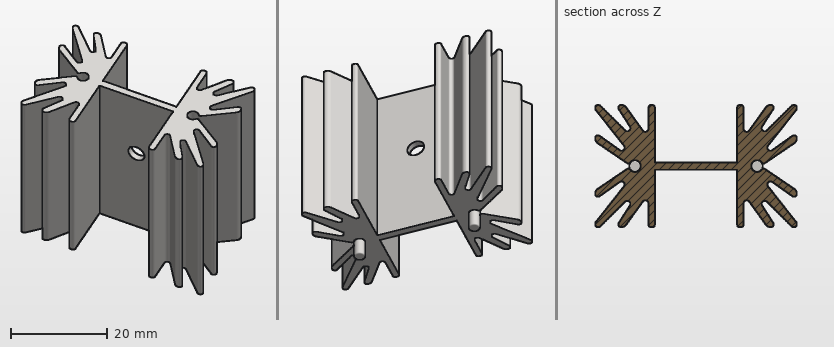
import cadquery as cq
import math

width = 41.9
depth = 25.4
total_height = 42.1
pin_protrusion = 4.0
body_height = total_height - pin_protrusion

web_thickness = 1.55
web_face_x = 8.5
fin_thickness = 1.4
hole_diameter = 3.7
hole_height = 21.7

pin_spacing = 25.4
pin_diameter = 2.4
pin_length = 2 * pin_protrusion
pin_edge_radius = 0.3

tip_radius = 0.6
shoulder_radius = 1.18
tip_flat = 0.1
valley_radius = 0.65
lip_radius = 0.4

side_fin_x = 15.55
side_fin_y = 5.8

low_valley_x = 15.45
low_valley_y = 3.85
high_valley_x = 14.27
high_valley_y = 7.87
inner_valley_y = 7.75

lip_x = 14.05
lip_y = 0.93

half_width = width / 2
half_depth = depth / 2
tip_x = half_width - tip_radius
tip_y = half_depth - tip_radius
fin_outer_x = web_face_x + fin_thickness
channel_x = pin_spacing / 2
channel_radius = pin_diameter / 2

channel_disc = (channel_x, 0, -channel_radius)
upper_discs = [
    (lip_x, lip_y, lip_radius),
    (half_width - shoulder_radius, side_fin_y - tip_flat, shoulder_radius),
    (tip_x, side_fin_y, tip_radius),
    (low_valley_x, low_valley_y, -valley_radius),
    (tip_x, tip_y - tip_flat, tip_radius),
    (tip_x, tip_y, tip_radius),
    (tip_x - tip_flat, tip_y, tip_radius),
    (high_valley_x, high_valley_y, -valley_radius),
    (side_fin_x, tip_y, tip_radius),
    (side_fin_x - tip_flat, half_depth - shoulder_radius, shoulder_radius),
    (fin_outer_x + valley_radius, inner_valley_y, -valley_radius),
    (fin_outer_x - tip_radius, tip_y, tip_radius),
    (web_face_x + tip_radius, tip_y, tip_radius),
]
lower_discs = [(x, -y, radius) for x, y, radius in reversed(upper_discs)]
cluster_discs = [channel_disc] + upper_discs + lower_discs


def tangent_angle(start, end):
    """Direction from both disc centres to the tangent line that joins the discs."""
    dx = end[0] - start[0]
    dy = end[1] - start[1]
    return math.atan2(dy, dx) - math.acos((start[2] - end[2]) / math.hypot(dx, dy))


def point_on(disc, angle):
    x, y, radius = disc
    return (x + radius * math.cos(angle), y + radius * math.sin(angle))


def belt(discs):
    """Closed counter-clockwise outline of arcs on the discs and tangent lines between them."""
    count = len(discs)
    leaving = [tangent_angle(discs[i], discs[(i + 1) % count]) for i in range(count)]
    outline = cq.Workplane("XY").moveTo(*point_on(discs[0], leaving[0]))
    for i in list(range(1, count)) + [0]:
        disc = discs[i]
        arrive = leaving[i - 1]
        sweep = (leaving[i] - arrive) % (2 * math.pi)
        if disc[2] < 0:
            sweep -= 2 * math.pi
        outline = outline.lineTo(*point_on(disc, arrive))
        outline = outline.threePointArc(
            point_on(disc, arrive + sweep / 2), point_on(disc, arrive + sweep)
        )
    return outline.close()


def make_body():
    cluster = belt(cluster_discs).extrude(body_height)
    web = cq.Workplane("XY").box(
        2 * web_face_x + fin_thickness, web_thickness, body_height, centered=(True, True, False)
    )
    hole = (
        cq.Workplane("XZ")
        .center(0, hole_height)
        .circle(hole_diameter / 2)
        .extrude(web_thickness, both=True)
    )
    return web.union(cluster).union(cluster.mirror("YZ")).cut(hole)


def make_pin(x):
    return (
        cq.Workplane("XY", origin=(x, 0, -pin_protrusion))
        .circle(pin_diameter / 2)
        .extrude(pin_length)
        .edges("%CIRCLE")
        .fillet(pin_edge_radius)
    )


result = make_body()
for pin_x in (-channel_x, channel_x):
    result = result.union(make_pin(pin_x))